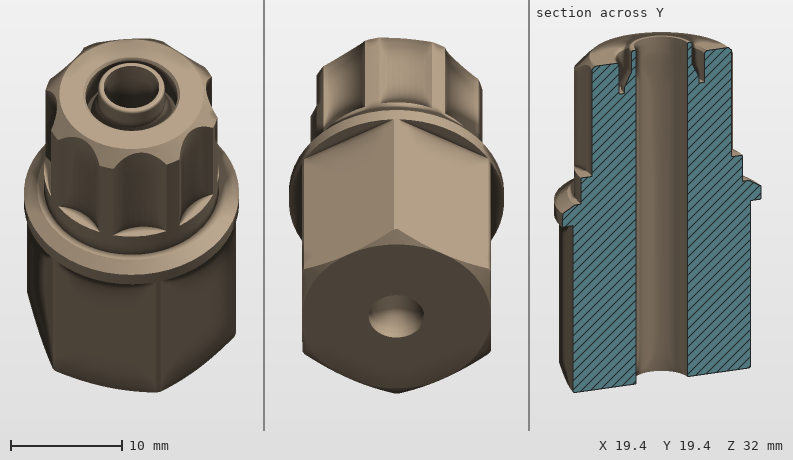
import cadquery as cq
import math

hex_height = 16.0
collar_top = 18.0
flute_bottom = 20.5
cap_top = 31.0
spigot_top = 32.0

body_diameter = 19.4
across_flats = 17.0
hex_turn = 18.4
bevel_angle = 30.0
bevel_diameter = 17.0

cap_diameter = 15.8
cap_face_diameter = 13.0
cap_bevel_height = 1.3
flute_count = 8
flute_turn = -5.1
flute_radius = 4.15
flute_floor_radius = 6.76

recess_diameter = 8.3
recess_mouth_diameter = 8.75
recess_floor = 28.0
spigot_diameter = 6.0
spigot_bore = 5.0
spigot_rounding = 0.25
barb_diameter = 7.3
barb_start = 29.9
barb_height = 1.3


def cylinder(diameter, bottom, top):
    return cq.Workplane("XY").workplane(offset=bottom).circle(diameter / 2).extrude(top - bottom)


def revolved(profile):
    """Turn (radius, height) points around the Z axis."""
    return cq.Workplane("XZ").polyline(profile).close().revolve(360, (0, 0, 0), (0, 1, 0))


def make_body():
    outer = body_diameter / 2
    inner = bevel_diameter / 2
    bevel_height = (outer - inner) * math.tan(math.radians(bevel_angle))
    envelope = revolved([
        (0, 0),
        (inner, 0),
        (outer, bevel_height),
        (outer, collar_top - bevel_height),
        (inner, collar_top),
        (0, collar_top),
    ])
    corner_diameter = across_flats / math.cos(math.pi / 6)
    hexagon = (
        cq.Workplane("XY")
        .polygon(6, corner_diameter)
        .extrude(hex_height)
        .rotate((0, 0, 0), (0, 0, 1), hex_turn)
    )
    collar = cylinder(corner_diameter, hex_height, collar_top)
    return envelope.intersect(hexagon.union(collar))


def make_cap():
    outer = cap_diameter / 2
    cap = revolved([
        (0, hex_height),
        (outer, hex_height),
        (outer, cap_top - cap_bevel_height),
        (cap_face_diameter / 2, cap_top),
        (0, cap_top),
    ])
    flutes = (
        cq.Workplane("XY")
        .workplane(offset=flute_bottom)
        .polarArray(flute_floor_radius + flute_radius, flute_turn, 360, flute_count)
        .circle(flute_radius)
        .extrude(cap_top - flute_bottom)
    )
    return cap.cut(flutes)


def make_recess():
    inner = recess_diameter / 2
    mouth = recess_mouth_diameter / 2
    return revolved([
        (0, recess_floor),
        (inner, recess_floor),
        (inner, cap_top - (mouth - inner)),
        (mouth, cap_top),
        (0, cap_top),
    ])


def make_spigot():
    tube = cylinder(spigot_diameter, hex_height, spigot_top).faces(">Z").edges().fillet(spigot_rounding)
    barb_bottom = barb_start - barb_height
    barb = revolved([
        (0, hex_height),
        (barb_diameter / 2, hex_height),
        (barb_diameter / 2, barb_bottom),
        (spigot_diameter / 2, barb_start),
        (0, barb_start),
    ])
    return tube.union(barb)


through_bore = cylinder(spigot_bore, 0, spigot_top)
shell = make_body().union(make_cap()).cut(make_recess())
result = shell.union(make_spigot()).cut(through_bore)